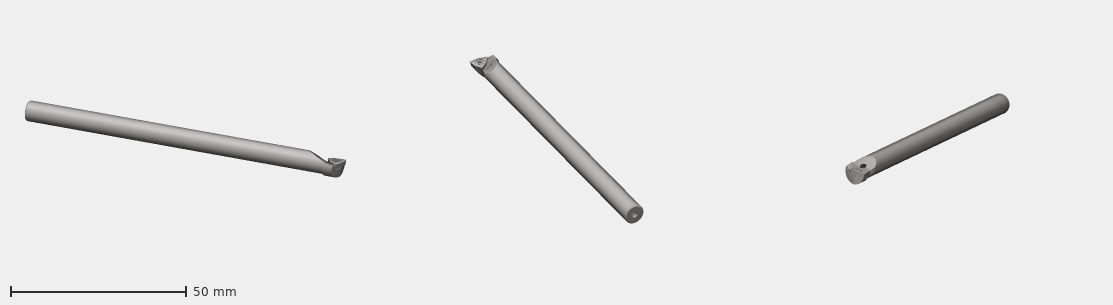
import cadquery as cq
import math

length = 95.0
shank_diameter = 6.0
shank_chamfer = 0.4
head_diameter = 6.7
head_start = 90.1
bore_diameter = 1.7
bore_depth = 86.9
outlet_diameter = 1.5
outlet_x = 89.1
outlet_y = 0.33

insert_circle = 4.0
insert_thickness = 1.5
corner_angle = 80.0
nose_radius = 0.2
relief_angle = 5.0
insert_tilt = 11.0
tip_direction = 45.0
overall_width = 7.1
tip_y = overall_width - head_diameter / 2
insert_top_z = 0.7
land_width = 0.4
groove_depth = 0.1
hole_mouth_diameter = 2.8
hole_mouth_depth = 0.3

screw_head_diameter = 2.1
screw_top_depth = 0.2
screw_cone_depth = 0.7
screw_shank_diameter = 1.3
screw_length = 3.0
socket_radius = 0.6
socket_lobe_radius = 0.14
socket_lobes = 6
socket_depth = 0.5

scoop_start = 85.6
wall_slope_x = -0.54
wall_slope_y = -0.65
floor_slope_x = -0.15
floor_slope_y = -0.5
floor_height = -0.2
seat_inset = 0.14
scoop_blend_radius = 5.7
end_overhang = 0.24
end_relief = 3.0
side_cut_start = 86.8
side_cut_angle = 18.0

half_corner = math.radians(corner_angle / 2)
nose_center = (insert_circle / 2 - nose_radius) / math.sin(half_corner)
tip_reach = nose_center * math.cos(math.radians(tip_direction)) + nose_radius
insert_x = length - tip_reach
insert_y = tip_y - tip_reach * math.cos(math.radians(insert_tilt))

corner_count = 3
corner_step = 360 / corner_count
edge_turn = 90 - corner_angle / 2
tip_end_direction = tip_direction - edge_turn
nose_end_direction = tip_direction - corner_step + edge_turn

big = 2 * shank_diameter


def trigon_points(inscribed_radius):
    """Corners and blunt side vertices of a trigon around the origin."""
    corner_reach = inscribed_radius / math.sin(half_corner)
    side_reach = inscribed_radius / math.cos(math.radians(corner_step / 2 - edge_turn))
    points = []
    for step in range(2 * corner_count):
        angle = math.radians(tip_direction + corner_step / 2 * step)
        reach = corner_reach if step % 2 == 0 else side_reach
        points.append((reach * math.cos(angle), reach * math.sin(angle)))
    return points


def place(body):
    """Move a body built around the insert's top centre to its tilted place."""
    tilted = body.rotate((0, 0, 0), (1, 0, 0), -insert_tilt)
    return tilted.translate((insert_x, insert_y, insert_top_z))


def space_above(origin, slope_x, slope_y):
    """Block filling the space above a sloping plane."""
    plane = cq.Plane(origin=origin, xDir=(1, 0, slope_x), normal=(-slope_x, -slope_y, 1))
    return cq.Workplane(plane).rect(4 * big, 4 * big).extrude(2 * big)


def make_insert_blank():
    blank = (
        cq.Workplane("XY")
        .polyline(trigon_points(insert_circle / 2)).close()
        .extrude(-insert_thickness, taper=relief_angle)
    )
    for step in range(corner_count):
        angle = math.radians(tip_direction + corner_step * step)
        reach = insert_circle / 2 / math.sin(half_corner)
        corner = (reach * math.cos(angle), reach * math.sin(angle), -insert_thickness / 2)
        blank = blank.edges(cq.selectors.NearestToPointSelector(corner)).fillet(nose_radius)
    return blank


def make_screw_blank():
    head = screw_head_diameter / 2
    shank = screw_shank_diameter / 2
    return (
        cq.Workplane("XZ")
        .moveTo(0, -screw_top_depth)
        .lineTo(head, -screw_top_depth)
        .lineTo(shank, -screw_top_depth - screw_cone_depth)
        .lineTo(shank, -screw_length)
        .lineTo(0, -screw_length)
        .close()
        .revolve(360, (0, 0, 0), (0, 1, 0))
    )


def make_screw():
    socket = cq.Workplane("XY").circle(socket_radius)
    socket = socket.extrude(-screw_top_depth - socket_depth)
    lobes = (
        cq.Workplane("XY")
        .polarArray(socket_radius, 0, 360, socket_lobes)
        .circle(socket_lobe_radius)
        .extrude(-screw_top_depth - socket_depth)
    )
    return place(make_screw_blank().cut(socket).cut(lobes))


def make_insert():
    groove = (
        cq.Workplane("XY")
        .polyline(trigon_points(insert_circle / 2 - land_width)).close()
        .extrude(-groove_depth)
    )
    mouth = cq.Workplane("XY").circle(hole_mouth_diameter / 2).extrude(-hole_mouth_depth)
    return place(make_insert_blank().cut(groove).cut(mouth).cut(make_screw_blank()))


def make_seat():
    """Column below the insert that carries it."""
    column = (
        cq.Workplane("XY")
        .polyline(trigon_points(insert_circle / 2 - seat_inset)).close()
        .extrude(-big)
    )
    return place(column)


def make_scoop():
    wall = space_above((scoop_start, 0, shank_diameter / 2), wall_slope_x, wall_slope_y)
    floor = space_above((length, 0, floor_height), floor_slope_x, floor_slope_y)
    wall_direction = cq.Vector(-wall_slope_x, -wall_slope_y, 1)
    floor_direction = cq.Vector(-floor_slope_x, -floor_slope_y, 1)
    crease = cq.selectors.ParallelDirSelector(wall_direction.cross(floor_direction))
    scoop = wall.intersect(floor).edges(crease).fillet(scoop_blend_radius)
    return scoop.cut(make_seat())


def make_side_cut():
    """Space beside the slanting face behind the insert, leaving the seat."""
    cut = (
        cq.Workplane("XY").box(2 * big, big, 2 * big, centered=(False, False, True))
        .rotate((0, 0, 0), (0, 0, 1), -side_cut_angle)
        .translate((side_cut_start, shank_diameter / 2, 0))
    )
    return cut.cut(make_seat())


def make_coolant_bore():
    """Axial bore with a rising outlet that opens in the scoop wall."""
    bore = cq.Workplane("YZ").circle(bore_diameter / 2).extrude(bore_depth)
    wall_rise = wall_slope_x * (outlet_x - scoop_start) + wall_slope_y * outlet_y
    outlet_z = shank_diameter / 2 + wall_rise
    start = (bore_depth - bore_diameter / 2, 0, 0)
    direction = (outlet_x - start[0], outlet_y, outlet_z)
    outlet = (
        cq.Workplane(cq.Plane(origin=start, normal=direction))
        .circle(outlet_diameter / 2).extrude(big)
    )
    return bore.union(outlet)


def make_end_cut(direction, reach):
    """Space in front of an end face that looks along a direction in plan."""
    return (
        cq.Workplane("XY").box(big, 2 * big, 2 * big, centered=(False, True, True))
        .rotate((0, 0, 0), (0, 1, 0), end_relief)
        .translate((reach, 0, 0))
        .rotate((0, 0, 0), (0, 0, 1), direction)
        .translate((insert_x, insert_y, 0))
    )


def make_pocket():
    """Insert recess, open upwards and through the nose end face."""
    points = trigon_points(insert_circle / 2)
    rear_corner, side_vertex = points[-2:]
    angle = math.radians(nose_end_direction)
    step_x = shank_diameter * math.cos(angle)
    step_y = shank_diameter * math.sin(angle)
    front_gap = [
        rear_corner,
        (rear_corner[0] + step_x, rear_corner[1] + step_y),
        (side_vertex[0] + step_x, side_vertex[1] + step_y),
        side_vertex,
    ]
    base = cq.Workplane("XY").workplane(offset=-insert_thickness)
    recess = base.polyline(points).close().extrude(big)
    opening = base.polyline(front_gap).close().extrude(big)
    return place(recess.union(opening))


def make_holder():
    shank = cq.Workplane("YZ").circle(shank_diameter / 2).extrude(length)
    shank = shank.faces("<X").chamfer(shank_chamfer)
    head = (
        cq.Workplane("YZ").workplane(offset=head_start)
        .circle(head_diameter / 2).extrude(length - head_start)
    )
    nose_end = make_end_cut(nose_end_direction, insert_circle / 2 + end_overhang)
    tip_end = make_end_cut(tip_end_direction, insert_circle / 2 - seat_inset)
    body = shank.union(head).cut(make_coolant_bore()).cut(make_scoop()).cut(make_side_cut())
    body = body.cut(nose_end).cut(tip_end).cut(make_pocket())
    return body.cut(place(make_screw_blank()))


holder = make_holder()
insert = make_insert()
screw = make_screw()
result = cq.Compound.makeCompound([body.solids().val() for body in (holder, insert, screw)])